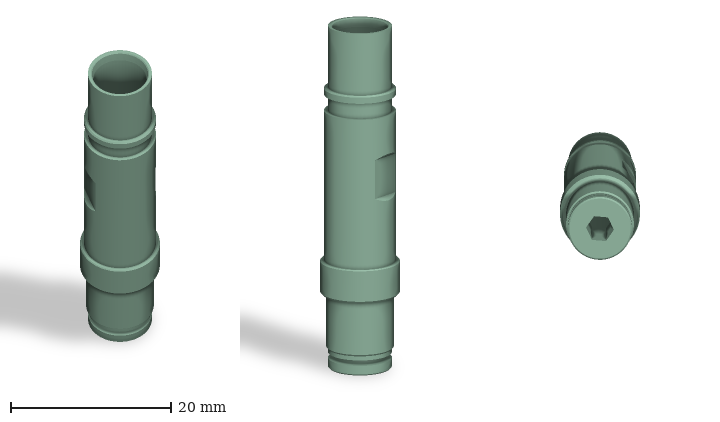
import cadquery as cq
import math

total_length = 44.4
tube_diameter = 8.0
body_diameter = 9.0
collar_diameter = 10.0
lower_diameter = 8.5
neck_diameter = 5.05

foot_height = 1.3
foot_chamfer = 0.18
neck_fillet = 0.58
neck_top = 2.0
lower_bottom = 2.55
lower_chamfer = (lower_diameter - tube_diameter) / 2
collar_bottom = 9.55
collar_bottom_chamfer = 0.35
collar_top = 14.0
collar_top_chamfer = 0.15
body_top = 33.4
ring_bottom = 35.48
ring_top = 36.45
ring_chamfer = 0.18

flat_distance = 8.0
flat_height = 5.0
flat_middle = 25.5
flat_depth = (body_diameter - flat_distance) / 2

bore_diameter = 6.7
mouth_diameter = 7.0
mouth_depth = 1.15
rim_chamfer = 0.15
pilot_diameter = 4.0
pilot_depth = 0.45
bore_bottom = 10.0
cone_angle = 59.0
hex_across_flats = 3.0


def turned_outside():
    tube = tube_diameter / 2
    body = body_diameter / 2
    collar = collar_diameter / 2
    lower = lower_diameter / 2
    neck = neck_diameter / 2
    foot_outline = [
        (0, 0),
        (tube - foot_chamfer, 0),
        (tube, foot_chamfer),
        (tube, foot_height),
        (neck + neck_fillet, foot_height),
    ]
    fillet_end = (neck, foot_height + neck_fillet)
    fillet_offset = neck_fillet * (1 - math.sqrt(0.5))
    fillet_middle = (neck + fillet_offset, foot_height + fillet_offset)
    stem_outline = [
        fillet_end,
        (neck, neck_top),
        (tube, neck_top),
        (tube, lower_bottom),
        (lower, lower_bottom + lower_chamfer),
        (lower, collar_bottom),
        (collar - collar_bottom_chamfer, collar_bottom),
        (collar, collar_bottom + collar_bottom_chamfer),
        (collar, collar_top - collar_top_chamfer),
        (collar - collar_top_chamfer, collar_top),
        (body, collar_top),
        (body, body_top),
        (tube, body_top),
        (tube, ring_bottom),
        (body, ring_bottom),
        (body, ring_top - ring_chamfer),
        (body - ring_chamfer, ring_top),
        (tube, ring_top),
        (tube, total_length),
        (0, total_length),
    ]
    profile = (
        cq.Workplane("XZ")
        .polyline(foot_outline)
        .threePointArc(fillet_middle, fillet_end)
        .polyline(stem_outline)
        .close()
    )
    return profile.revolve(360, (0, 0), (0, 1))


def stepped_bore():
    """Bore with a tapered mouth, and a cone down to the flat-bottomed pilot hole."""
    bore = bore_diameter / 2
    mouth = mouth_diameter / 2
    pilot = pilot_diameter / 2
    cone_height = (bore - pilot) / math.tan(math.radians(cone_angle))
    profile = [
        (0, bore_bottom - cone_height - pilot_depth),
        (pilot, bore_bottom - cone_height - pilot_depth),
        (pilot, bore_bottom - cone_height),
        (bore, bore_bottom),
        (bore, total_length - mouth_depth),
        (mouth, total_length - rim_chamfer),
        (mouth + rim_chamfer, total_length),
        (0, total_length),
    ]
    return cq.Workplane("XZ").polyline(profile).close().revolve(360, (0, 0), (0, 1))


def hex_hole():
    across_corners = hex_across_flats / math.cos(math.radians(30))
    return cq.Workplane("XY").polygon(6, across_corners).extrude(bore_bottom)


def wrench_flat(side):
    """Flat-bottomed notch with 45 degree ends, cut across the body on the +Y or -Y side."""
    inner = side * flat_distance / 2
    outer = side * body_diameter / 2
    half_inner = flat_height / 2
    half_outer = half_inner + flat_depth
    profile = [
        (inner, flat_middle - half_inner),
        (outer, flat_middle - half_outer),
        (outer, flat_middle + half_outer),
        (inner, flat_middle + half_inner),
    ]
    return cq.Workplane("YZ").polyline(profile).close().extrude(body_diameter / 2, both=True)


result = turned_outside().cut(stepped_bore()).cut(hex_hole())
for side in (-1, 1):
    result = result.cut(wrench_flat(side))